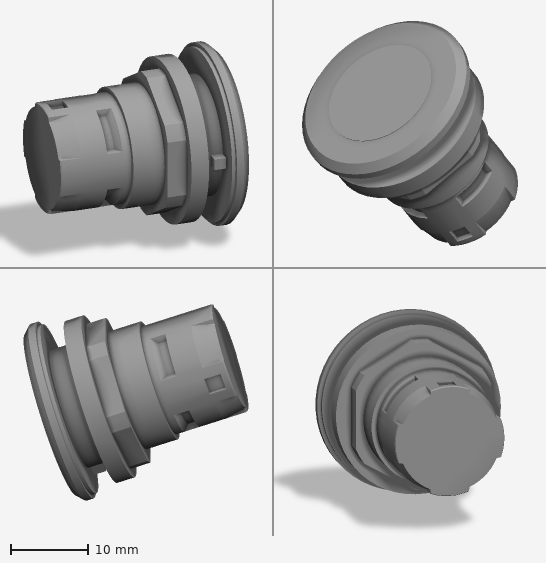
import cadquery as cq
import math


cap_diameter = 15.0
cap_height = 0.1
bezel_diameter = 24.0
bezel_thickness = 2.0
bezel_bevel = 1.0
gasket_diameter = 23.0
gasket_thickness = 0.5

barrel_diameter = 16.0
barrel_length = 12.3
washer_diameter = 22.0
washer_front = -3.0
washer_thickness = 2.4
nut_across_flats = 18.0
nut_corner_diameter = 19.6
nut_thickness = 2.6

key_reach = 9.5
key_front = -0.1
key_length = 1.6
key_width = 1.5

plug_diameter = 14.65
plug_end = -22.0
end_bevel_length = 0.2
end_bevel_depth = 0.1

rib_half_width = 2.53
rib_draft_angle = 7.0
window_front = -13.4
window_length = 2.1
window_slope_length = 0.8
window_floor_diameter = 13.0
ramp_length = 3.0
ramp_end_diameter = 13.5

pocket_side = 2.25
pocket_depth = 0.8
pocket_front = -18.8

washer_back = washer_front - washer_thickness
plug_radius = plug_diameter / 2
cutter_radius = bezel_diameter / 2


def disc(diameter, front, length):
    """Cylinder on the Y axis running from `front` toward -Y."""
    return cq.Workplane("XZ", origin=(0, front, 0)).circle(diameter / 2).extrude(length)


def revolved(profile):
    """Solid of revolution about Y from (radius, y) points."""
    return cq.Workplane("XY").polyline(profile).close().revolve(360, (0, 0), (0, 1))


def bezel():
    """Beveled rim with a low disc on its face and a gasket behind it."""
    face = gasket_thickness + bezel_thickness
    radius = bezel_diameter / 2
    rim = revolved([
        (0, gasket_thickness),
        (radius, gasket_thickness),
        (radius, face - bezel_bevel),
        (radius - bezel_bevel, face),
        (0, face),
    ])
    cap = disc(cap_diameter, face + cap_height, cap_height)
    gasket = disc(gasket_diameter, gasket_thickness, gasket_thickness)
    return rim.union(cap).union(gasket)


def nut():
    """Hexagon with flats at +X and -X, its corners turned down to a cylinder."""
    across_corners = nut_across_flats / math.cos(math.pi / 6)
    hexagon = (
        cq.Workplane("XZ", origin=(0, washer_back, 0))
        .transformed(rotate=(0, 0, 30))
        .polygon(6, across_corners)
        .extrude(nut_thickness)
    )
    return hexagon.intersect(disc(nut_corner_diameter, washer_back, nut_thickness))


def key():
    """Bar from the axis out to the key's tip; only its tip stands clear of the barrel."""
    bar = cq.Workplane("XY").box(key_reach, key_length, key_width, centered=(False, False, True))
    return bar.translate((0, key_front - key_length, 0))


def plug():
    """Cylinder behind the barrel with a small bevel at its end face."""
    end_radius = plug_radius - end_bevel_depth
    return revolved([
        (0, -barrel_length),
        (plug_radius, -barrel_length),
        (plug_radius, plug_end + end_bevel_length),
        (end_radius, plug_end),
        (0, plug_end),
    ])


def ribs():
    """Four drafted ribs along Y, on the X and Z axes, that widen toward the center of the plug."""
    surface = math.sqrt(plug_radius**2 - rib_half_width**2)
    draft = math.tan(math.radians(rib_draft_angle))
    root_half_width = rib_half_width + surface * draft
    tip_half_width = rib_half_width - (cutter_radius - surface) * draft
    rib = (
        cq.Workplane("XZ")
        .polyline([
            (-root_half_width, 0),
            (root_half_width, 0),
            (tip_half_width, cutter_radius),
            (-tip_half_width, cutter_radius),
        ])
        .close()
        .extrude(-plug_end)
    )
    return [rib.rotate((0, 0, 0), (0, 1, 0), 90 * turn) for turn in range(4)]


def between_ribs(ring):
    """Keep the four parts of a ring that lie between the ribs."""
    for rib in ribs():
        ring = ring.cut(rib)
    return ring


def window_cutter():
    """Ring with a sloped front wall and a square back wall, split by the ribs."""
    floor_radius = window_floor_diameter / 2
    window_back = window_front - window_length
    return between_ribs(revolved([
        (plug_radius, window_front),
        (cutter_radius, window_front),
        (cutter_radius, window_back),
        (floor_radius, window_back),
        (floor_radius, window_front - window_slope_length),
    ]))


def ramp_cutter():
    """Ring that tapers the plug toward its end face, split by the ribs."""
    return between_ribs(revolved([
        (plug_radius, plug_end + ramp_length),
        (cutter_radius, plug_end + ramp_length),
        (cutter_radius, plug_end),
        (ramp_end_diameter / 2, plug_end),
    ]))


def pocket_cutter(side):
    """Square pocket reaching inward from the plug surface; side is +1 (top) or -1 (bottom)."""
    center_y = pocket_front - pocket_side / 2
    block = cq.Workplane("XY").box(pocket_side, pocket_side, 2 * pocket_depth)
    return block.translate((0, center_y, side * plug_radius))


result = (
    bezel()
    .union(disc(barrel_diameter, 0, barrel_length))
    .union(disc(washer_diameter, washer_front, washer_thickness))
    .union(nut())
    .union(key())
    .union(plug())
    .cut(window_cutter())
    .cut(ramp_cutter())
)
for side in (1, -1):
    result = result.cut(pocket_cutter(side))